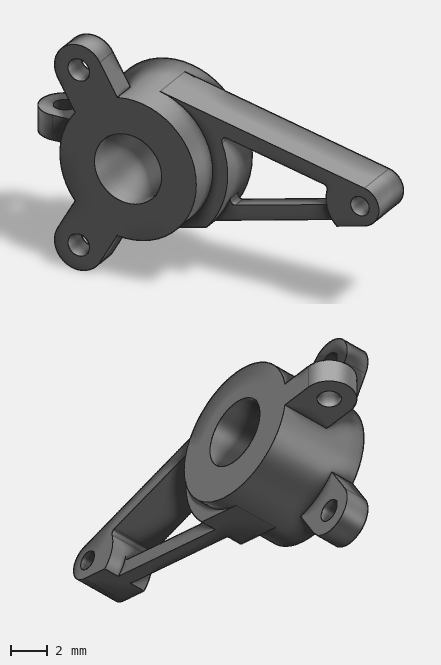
import cadquery as cq
import math

overall_length = 22.23

hub_radius = 4.25
bore_radius = 2.1
hub_depth = 5.67

lug_radius = 1.51
lug_hole_radius = 0.67
lug_thickness = 1.51
lug_reach = 6.14
front_lug_angles = (120, 240)

arm_front = 1.9
arm_thickness = 2.85
tip_radius = 1.18
tip_hole_radius = 0.58
tip_x = overall_length - lug_reach - lug_radius - tip_radius

collar_radius = 5.18
pad_radius = 2.11
strut_width = 0.9
window_corner_radius = 0.27
lower_strut_setback = 0.98


def along_y(start):
    """Workplane whose X and Y are global X and Z; a negative extrusion goes towards +Y."""
    return cq.Workplane("XZ", origin=(0, start, 0))


def disc(radius, x, start, depth):
    return along_y(start).center(x, 0).circle(radius).extrude(-depth)


def tapered_body(hub_end_radius, tip_end_radius):
    """Wedge between two circles, bounded by their common tangents."""
    taper = math.asin((hub_end_radius - tip_end_radius) / tip_x)
    normal_x = math.sin(taper)
    normal_z = math.cos(taper)
    hub_point = (hub_end_radius * normal_x, hub_end_radius * normal_z)
    tip_point = (tip_x + tip_end_radius * normal_x, tip_end_radius * normal_z)
    return (
        along_y(arm_front)
        .moveTo(hub_point[0], -hub_point[1])
        .lineTo(tip_point[0], -tip_point[1])
        .threePointArc((tip_x + tip_end_radius, 0), tip_point)
        .lineTo(*hub_point)
        .close()
        .extrude(-arm_thickness)
    )


def lug():
    """Flat lug pointing along +X, lying on the front face."""
    bar = along_y(0).center(lug_reach / 2, 0).rect(lug_reach, 2 * lug_radius).extrude(-lug_thickness)
    return bar.union(disc(lug_radius, lug_reach, 0, lug_thickness))


def lug_hole():
    return disc(lug_hole_radius, lug_reach, 0, lug_thickness)


def turn_about_hub(body, angle):
    return body.rotate((0, 0, 0), (0, -1, 0), angle)


def place_rear_lug(body):
    """Turn a lug flat, pointing along -X, with one side on the rear plane."""
    flat = body.translate((0, -lug_thickness / 2, 0)).rotate((0, 0, 0), (1, 0, 0), 90)
    return flat.rotate((0, 0, 0), (0, 0, 1), 180).translate((0, hub_depth - lug_radius, 0))


def lever_arm():
    arm = tapered_body(hub_radius, tip_radius)
    inner_wedge = tapered_body(hub_radius - strut_width, tip_radius - strut_width)
    collar = disc(collar_radius, 0, arm_front, arm_thickness)
    pad = disc(pad_radius, tip_x, arm_front, arm_thickness)

    window = inner_wedge.cut(collar).cut(pad).edges("|Y").fillet(window_corner_radius)

    for start in (arm_front, arm_front + arm_thickness - lower_strut_setback):
        lower_half = (
            along_y(start)
            .center(tip_x / 2, -hub_radius / 2)
            .rect(tip_x, hub_radius)
            .extrude(-lower_strut_setback)
        )
        arm = arm.cut(lower_half.cut(collar).cut(pad))
    return arm.cut(window)


hub = disc(hub_radius, 0, 0, hub_depth)
result = hub.union(lever_arm()).union(place_rear_lug(lug()))
result = result.cut(place_rear_lug(lug_hole()))
for angle in front_lug_angles:
    result = result.union(turn_about_hub(lug(), angle))
    result = result.cut(turn_about_hub(lug_hole(), angle))

result = result.cut(disc(tip_hole_radius, tip_x, arm_front, arm_thickness))
result = result.cut(disc(bore_radius, 0, 0, hub_depth))